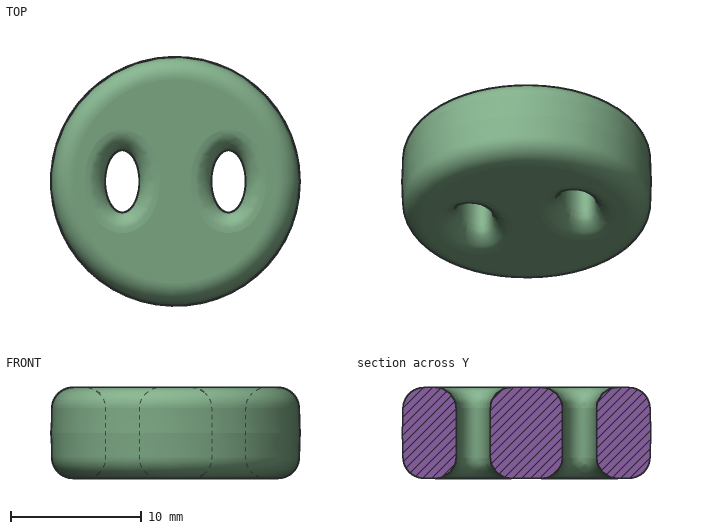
import cadquery as cq

mid_radius = 9.56
height = 7.0
draft_inset = 0.11
rim_fillet = 1.66
hole_offset = 4.07
hole_half_width = 1.3
hole_half_length = 2.37
hole_fillet = 1.59

half_height = height / 2
face_radius = mid_radius - draft_inset


def make_body():
    """Disc tapering from mid height to both faces, with rounded rims."""
    profile = (
        cq.Workplane("XZ")
        .moveTo(0, -half_height)
        .lineTo(face_radius, -half_height)
        .lineTo(mid_radius, 0)
        .lineTo(face_radius, half_height)
        .lineTo(0, half_height)
        .close()
    )
    disc = profile.revolve(360, (0, 0, 0), (0, 1, 0))
    return disc.faces("<Z or >Z").edges().fillet(rim_fillet)


def make_holes(body):
    """Two elliptical through holes with rounded mouths on both faces."""
    cutter = (
        cq.Workplane("XY")
        .workplane(offset=-half_height)
        .pushPoints([(-hole_offset, 0), (hole_offset, 0)])
        .ellipse(hole_half_width, hole_half_length)
        .extrude(height)
    )
    drilled = body.cut(cutter)
    mouths = drilled.faces("<Z or >Z").edges("not %CIRCLE")
    return mouths.fillet(hole_fillet)


result = make_holes(make_body())